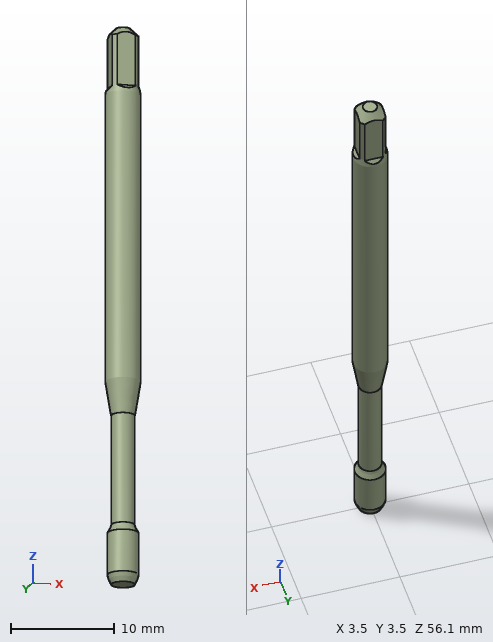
import cadquery as cq

total_length = 56.1

shank_diameter = 3.5
shank_shoulder_z = 49.4
taper_top_z = 20.5
taper_bottom_z = 17.2
taper_end_diameter = 2.4
taper_lip_height = 0.15
neck_diameter = 2.3

drive_diameter = 3.2
drive_across_flats = 2.65
drive_shoulder_height = 0.75
flats_bottom_z = 50.1
tip_diameter = 1.4

head_diameter = 3.1
head_top_z = 6.0
collar_diameter = 2.5
collar_height = 0.35
upper_chamfer_height = 0.5
upper_lead_z = 0.95
lower_lead_z = 0.5
lead_diameter = 2.8
head_end_diameter = 2.3


def revolve_profile(sections):
    """Revolve a list of (diameter, height) stations about the Z axis."""
    bottom_z = sections[0][1]
    top_z = sections[-1][1]
    outline = [(0, bottom_z)]
    outline += [(diameter / 2, z) for diameter, z in sections]
    outline.append((0, top_z))
    return (
        cq.Workplane("XZ")
        .polyline(outline)
        .close()
        .revolve(360, (0, 0, 0), (0, 1, 0))
    )


def make_drive_flats_cutter():
    """Stock around the square drive: four flats that run out in 45 degree ramps."""
    ramp_width = shank_diameter - drive_across_flats
    ramp_bottom_z = flats_bottom_z - ramp_width
    ramp_base = drive_across_flats + 2 * ramp_width
    stock = (
        cq.Workplane("XY")
        .workplane(offset=ramp_bottom_z)
        .rect(ramp_base, ramp_base)
        .extrude(total_length - ramp_bottom_z)
    )
    square = (
        cq.Workplane("XY")
        .workplane(offset=flats_bottom_z)
        .rect(drive_across_flats, drive_across_flats)
        .extrude(total_length - flats_bottom_z)
    )
    ramps = (
        cq.Workplane("XY")
        .workplane(offset=ramp_bottom_z)
        .rect(ramp_base, ramp_base)
        .workplane(offset=ramp_width)
        .rect(drive_across_flats, drive_across_flats)
        .loft(ruled=True)
    )
    return stock.cut(square).cut(ramps)


def make_shank():
    """Neck, taper, cylindrical shank and square drive with a 45 degree tip."""
    tip_height = (drive_diameter - tip_diameter) / 2
    blank = revolve_profile([
        (neck_diameter, head_top_z),
        (neck_diameter, taper_bottom_z - taper_lip_height),
        (taper_end_diameter, taper_bottom_z),
        (shank_diameter, taper_top_z),
        (shank_diameter, shank_shoulder_z),
        (drive_diameter, shank_shoulder_z + drive_shoulder_height),
        (drive_diameter, total_length - tip_height),
        (tip_diameter, total_length),
    ])
    return blank.cut(make_drive_flats_cutter())


def make_cutting_head():
    """Head with a conical collar under the neck and a two-step lead-in at its end."""
    collar_bottom_z = head_top_z - collar_height
    return revolve_profile([
        (head_end_diameter, 0),
        (lead_diameter, lower_lead_z),
        (head_diameter, upper_lead_z),
        (head_diameter, collar_bottom_z - upper_chamfer_height),
        (collar_diameter, collar_bottom_z),
        (neck_diameter, head_top_z),
    ])


shank = make_shank()
cutting_head = make_cutting_head()

result = cq.Compound.makeCompound([shank.val(), cutting_head.val()])